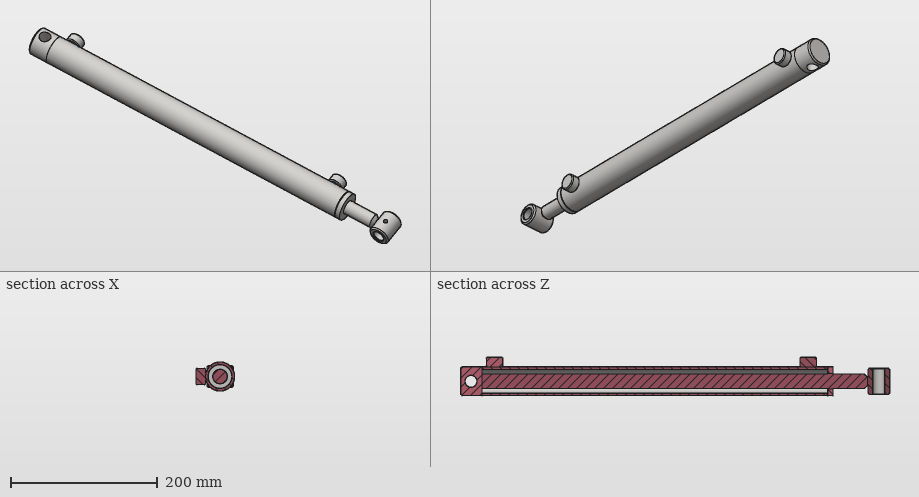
import cadquery as cq


total_length = 584.0
barrel_diameter = 40.0
bore_diameter = 32.0
rod_diameter = 20.0
pin_hole_diameter = 16.0

cap_pin_x = 14.0
cap_end = 29.0
tube_end = 499.0
seal_ring_width = 1.0
gland_start = tube_end + seal_ring_width
gland_end = 507.0

cap_chamfer = 2.0

rod_taper_start = 549.5
rod_taper_length = 5.0

eye_diameter = 30.0
eye_width = 36.0
eye_x = total_length - eye_diameter / 2
eye_outer_chamfer = 2.0
eye_bore_chamfer = 1.0
grease_hole_diameter = 5.5

port_diameter = 23.0
port_inner_y = 19.5
port_outer_y = 33.0
port_chamfer = 1.5
port_positions = (46.0, 473.0)


def cylinder_along_x(start, end, diameter):
    return cq.Workplane("YZ", origin=(start, 0, 0)).circle(diameter / 2).extrude(end - start)


def cylinder_along_y(x, start, end, diameter):
    return cq.Workplane("XZ", origin=(x, end, 0)).circle(diameter / 2).extrude(end - start)


def ring_along_x(start, end, inner_diameter):
    outside = cylinder_along_x(start, end, barrel_diameter)
    return outside.cut(cylinder_along_x(start, end, inner_diameter))


def make_base_cap():
    cap = cylinder_along_x(0, cap_end, barrel_diameter)
    cap = cap.faces("<X").chamfer(cap_chamfer)
    pin_hole = (
        cq.Workplane("XY")
        .center(cap_pin_x, 0)
        .circle(pin_hole_diameter / 2)
        .extrude(barrel_diameter / 2, both=True)
    )
    return cap.cut(pin_hole)


def make_tube():
    return ring_along_x(cap_end, tube_end, bore_diameter)


def make_seal_ring():
    return ring_along_x(tube_end, gland_start, rod_diameter)


def make_gland():
    return ring_along_x(gland_start, gland_end, rod_diameter)


def make_rod_eye():
    eye = cylinder_along_y(eye_x, -eye_width / 2, eye_width / 2, eye_diameter)
    eye = eye.faces("<Y or >Y").chamfer(eye_outer_chamfer)
    eye = eye.cut(cylinder_along_y(eye_x, -eye_width / 2, eye_width / 2, pin_hole_diameter))
    bore_rims = eye.faces("<Y or >Y").edges(cq.selectors.RadiusNthSelector(0))
    eye = bore_rims.chamfer(eye_bore_chamfer)
    grease_hole = (
        cq.Workplane("XY")
        .center(eye_x, 0)
        .circle(grease_hole_diameter / 2)
        .extrude(eye_diameter / 2)
    )
    return eye.cut(grease_hole)


def make_rod():
    rod = cylinder_along_x(cap_end, rod_taper_start + rod_taper_length, rod_diameter)
    rod = rod.faces(">X").chamfer(rod_taper_length)
    return rod.cut(cylinder_along_y(eye_x, -eye_width / 2, eye_width / 2, eye_diameter))


def make_port(x):
    port = cylinder_along_y(x, port_inner_y, port_outer_y, port_diameter)
    port = port.faces("<Y or >Y").chamfer(port_chamfer)
    return port.cut(cylinder_along_x(cap_end, tube_end, barrel_diameter))


base_cap = make_base_cap()
tube = make_tube()
seal_ring = make_seal_ring()
gland = make_gland()
rod = make_rod()
rod_eye = make_rod_eye()
ports = [make_port(x) for x in port_positions]

result = cq.Compound.makeCompound([
    base_cap.val(),
    tube.val(),
    seal_ring.val(),
    gland.val(),
    rod.val(),
    rod_eye.val(),
    *[port.val() for port in ports],
])